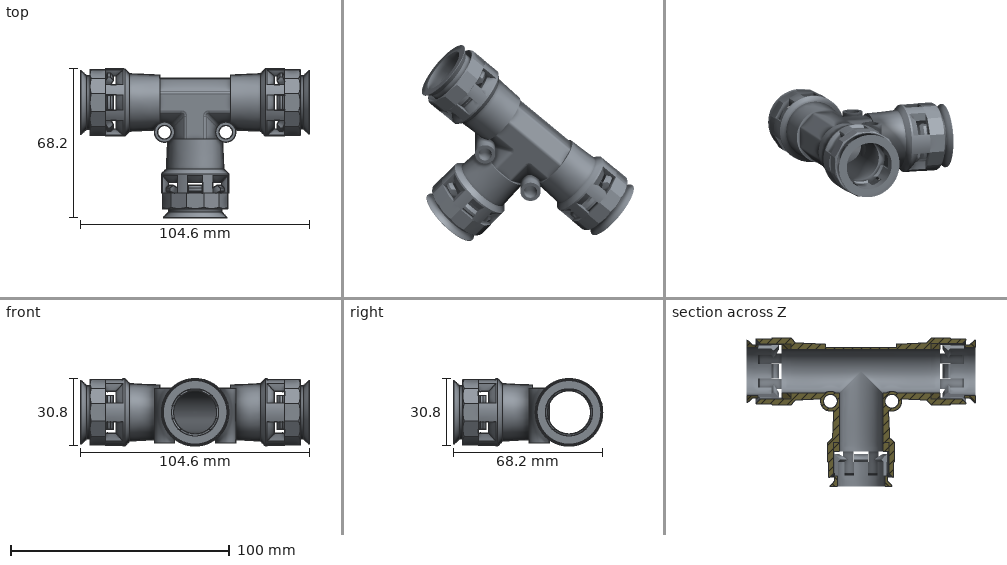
import cadquery as cq
import math


overall_length = 104.6
overall_width = 68.2
socket_diameter = 30.8
socket_radius = socket_diameter / 2
run_end = overall_length / 2
branch_end = overall_width - socket_radius

main_bore_radius = 9.8
socket_bore_radius = 12.5

collar_depth = 4.2
collar_flats = 30.0
collar_sides = 12
collar_end_radius = 14.8
mouth_radius = 14.5
window_depth = 11.4
window_slope_depth = 16.1
window_end_depth = 19.3
shoulder_depth = 20.2
neck_depth = 22.4
neck_radius = 13.2
neck_end_depth = 36.2
neck_end_radius = 12.5

top_window_width = 6.9
side_window_inner = 8.2
side_window_angle = 16.3
side_wall_rise = math.tan(math.radians(side_window_angle))

block_width = 22.2
block_edge_radius = 1.8

boss_x = 14.0
boss_y = -13.6
boss_radius = 4.6
boss_hole_radius = 3.0
boss_top = 11.0
boss_bottom = -14.0

sleeve_bore_radius = 10.8
sleeve_radius = 12.2
flare_radius = 14.5
rim_thickness = 0.2
flare_depth = 2.7
slot_depth = 5.2
latch_radius = 13.9
latch_crest_start = 12.3
latch_crest_end = 13.6
latch_tip_depth = 15.0
latch_tip_radius = 12.7
latch_heel_depth = 13.9
latch_heel_radius = 11.3
tooth_start_depth = 11.4
tooth_crest_depth = 12.3
tooth_crest_radius = main_bore_radius
top_finger_width = 6.5
side_finger_top = 7.7

seal_length = shoulder_depth - window_slope_depth

reach = 41.8


def revolve_about_x(profile):
    """Turn a closed list of (x, radius) points about the X axis."""
    return cq.Workplane("XY").polyline(profile).close().revolve(360, (0, 0, 0), (1, 0, 0))


def socket_profile(end, depth_radius_points):
    """Change (depth, radius) points into (x, radius) points of a socket ending at `end`."""
    return [(end - depth, radius) for depth, radius in depth_radius_points]


def six_bars(length, top_width, side_outline):
    """Straight bars along X: one above, one below, and two on either side.

    `side_outline` holds the (y, z) corners of the bar in the upper +Y quarter.
    """
    half = top_width / 2
    top_outline = [(-half, 0), (half, 0), (half, reach), (-half, reach)]
    top = cq.Workplane("YZ").polyline(top_outline).close().extrude(length)
    side = cq.Workplane("YZ").polyline(side_outline).close().extrude(length)
    both_sides = side.union(side.mirror("XZ"))
    upper_bars = top.union(both_sides)
    return upper_bars.union(upper_bars.mirror("XY"))


def collar(end):
    """Polygon collar around the mouth, its corners bevelled at the outer end."""
    corner_radius = collar_flats / 2 / math.cos(math.pi / collar_sides)
    bevel = corner_radius - collar_end_radius
    prism = (
        cq.Workplane("YZ")
        .polygon(collar_sides, 2 * corner_radius)
        .extrude(window_depth - collar_depth)
        .rotate((0, 0, 0), (1, 0, 0), 180 / collar_sides)
        .translate((end - window_depth, 0, 0))
    )
    envelope = revolve_about_x(socket_profile(end, [
        (collar_depth, 0),
        (collar_depth, collar_end_radius),
        (collar_depth + bevel, corner_radius),
        (window_depth, corner_radius),
        (window_depth, 0),
    ]))
    return prism.intersect(envelope)


def windows(end):
    """Six latch windows with a conical inner end."""
    slope = (window_end_depth - window_slope_depth) / (socket_radius - socket_bore_radius)
    overlap = 0.5
    inner = socket_bore_radius - overlap
    outer = socket_radius + overlap
    ring = revolve_about_x(socket_profile(end, [
        (window_depth, inner),
        (window_slope_depth - slope * overlap, inner),
        (window_end_depth + slope * overlap, outer),
        (window_depth, outer),
    ]))
    side_outline = [
        (side_window_inner, side_window_inner * side_wall_rise),
        (reach, reach * side_wall_rise),
        (reach, reach),
        (side_window_inner, reach),
    ]
    openings = six_bars(end, top_window_width, side_outline)
    return ring.intersect(openings)


def socket_shell(end):
    """Outside of one housing socket, with its windows."""
    body = revolve_about_x(socket_profile(end, [
        (window_depth, 0),
        (window_depth, socket_radius),
        (shoulder_depth, socket_radius),
        (neck_depth, neck_radius),
        (neck_end_depth, neck_end_radius),
        (neck_end_depth, 0),
    ]))
    return body.union(collar(end)).cut(windows(end))


def socket_bore(end):
    """Countersunk mouth, bore for sleeve and seal, then the main bore to the centre."""
    countersink = mouth_radius - socket_bore_radius
    return revolve_about_x(socket_profile(end, [
        (collar_depth, 0),
        (collar_depth, mouth_radius),
        (collar_depth + countersink, socket_bore_radius),
        (shoulder_depth, socket_bore_radius),
        (shoulder_depth, main_bore_radius),
        (end, main_bore_radius),
        (end, 0),
    ]))


def octagon_bar(length):
    """Octagonal bar from the centre along +X, flat on top and bottom."""
    return (
        cq.Workplane("YZ")
        .polygon(8, block_width / math.cos(math.pi / 8))
        .extrude(length)
        .rotate((0, 0, 0), (1, 0, 0), 180 / 8)
    )


def centre_block():
    """Octagonal T-shaped block with rounded edges."""
    run_length = run_end - neck_end_depth
    branch_length = branch_end - neck_end_depth
    run = octagon_bar(2 * run_length).translate((-run_length, 0, 0))
    branch = octagon_bar(branch_length).rotate((0, 0, 0), (0, 0, 1), -90)
    block = run.union(branch).clean()
    margin = 0.1
    inside = cq.selectors.BoxSelector(
        (-run_length + margin, -branch_length + margin, -reach),
        (run_length - margin, reach, reach),
    )
    return block.edges(inside).fillet(block_edge_radius)


def boss_rod(x, radius):
    """Upright rod over the height of a mounting boss."""
    return (
        cq.Workplane("XY", origin=(x, boss_y, boss_bottom))
        .circle(radius)
        .extrude(boss_top - boss_bottom)
    )


def make_housing():
    """Tee housing; the bosses stand into the run bore but not into the branch bore."""
    housing = centre_block()
    for end, angle in arms:
        housing = housing.union(place(socket_shell(end), angle))
    for end, angle in run_arms:
        housing = housing.cut(place(socket_bore(end), angle))
    for x in (-boss_x, boss_x):
        housing = housing.union(boss_rod(x, boss_radius))
    for end, angle in branch_arms:
        housing = housing.cut(place(socket_bore(end), angle))
    for x in (-boss_x, boss_x):
        housing = housing.cut(boss_rod(x, boss_hole_radius))
    return housing


def make_sleeve(end):
    """Flared locking sleeve with six latch fingers, each with a tooth inside."""
    tube = revolve_about_x(socket_profile(end, [
        (0, sleeve_bore_radius),
        (0, flare_radius),
        (rim_thickness, flare_radius),
        (flare_depth, sleeve_radius),
        (slot_depth, sleeve_radius),
        (slot_depth, sleeve_bore_radius),
    ]))
    finger_ring = revolve_about_x(socket_profile(end, [
        (slot_depth, sleeve_bore_radius),
        (slot_depth, sleeve_radius),
        (window_depth, sleeve_radius),
        (window_depth, socket_bore_radius),
        (latch_crest_start, latch_radius),
        (latch_crest_end, latch_radius),
        (latch_tip_depth, latch_tip_radius),
        (latch_heel_depth, latch_heel_radius),
        (tooth_crest_depth, tooth_crest_radius),
        (tooth_start_depth, sleeve_bore_radius),
    ]))
    side_outline = [
        (0, 0),
        (side_finger_top / side_wall_rise, side_finger_top),
        (0, side_finger_top),
    ]
    fingers = finger_ring.intersect(six_bars(end, top_finger_width, side_outline))
    return tube.union(fingers)


def make_seal(end):
    """Sealing ring between the windows and the shoulder of the bore."""
    return (
        cq.Workplane("YZ", origin=(end - shoulder_depth, 0, 0))
        .circle(socket_bore_radius)
        .circle(main_bore_radius)
        .extrude(seal_length)
    )


def place(part, angle):
    """Turn a part built along +X about the vertical axis into its arm."""
    return part.rotate((0, 0, 0), (0, 0, 1), angle)


run_arms = [(run_end, 0), (run_end, 180)]
branch_arms = [(branch_end, -90)]
arms = run_arms + branch_arms

housing = make_housing()
sleeves = [place(make_sleeve(end), angle) for end, angle in arms]
seals = [place(make_seal(end), angle) for end, angle in arms]

result = cq.Compound.makeCompound(
    [housing.val()] + [sleeve.val() for sleeve in sleeves] + [seal.val() for seal in seals]
)